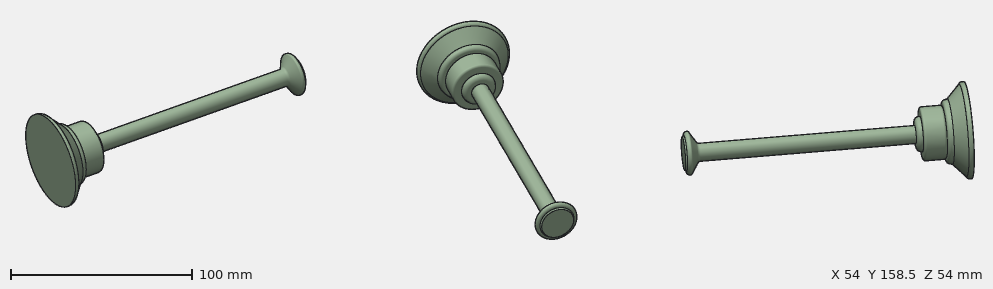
import cadquery as cq
import math

TOTAL_LENGTH = 158.5

CUP_DIAMETER = 54.0
CUP_RADIUS = CUP_DIAMETER / 2
RIM_THICKNESS = 1.0
RIM_ROUND_TOP = 2.9
RIM_ROUND_RADIUS = 25.7
SKIRT_MID_RADIUS = 21.5
SKIRT_MID_Y = 6.8
SKIRT_TOP_RADIUS = 18.2
SKIRT_TOP_Y = 10.0
SHOULDER_RADIUS = 17.9
SHOULDER_ROUND = 2.0
SHOULDER_START_Y = 11.1
CUP_TOP_Y = SHOULDER_START_Y + SHOULDER_ROUND

HOUSING_RADIUS = 15.0
HOUSING_TOP_Y = 26.0
HOUSING_ROUND = 1.5

COLLAR_RADIUS = 9.8
COLLAR_TOP_Y = 29.3
COLLAR_ROUND = 2.9

ROD_RADIUS = 5.0
NECK_START_Y = 149.3
NECK_END_Y = 150.9
NECK_END_RADIUS = 5.9
HEAD_CONE_RADIUS = 11.7
HEAD_CONE_END_Y = 154.7
HEAD_RADIUS = 12.2
HEAD_WIDEST_Y = 155.5
HEAD_STEP_RADIUS = 10.0
HEAD_STEP_Y = 157.5
HEAD_END_RADIUS = 9.4

ROUND_MID = math.sqrt(0.5)


def turn(profile):
    """Revolve a closed radius/length profile a full turn about the Y axis."""
    return profile.revolve(360, (0, 0, 0), (0, 1, 0))


def make_cylinder(radius, start_y, end_y):
    """Solid cylinder on the Y axis."""
    return turn(cq.Workplane("XY").moveTo(0, start_y).lineTo(radius, start_y)
                .lineTo(radius, end_y).lineTo(0, end_y).close())


def make_cup():
    """Flared suction cup with a flat face and a rounded shoulder."""
    shoulder_center = SHOULDER_RADIUS - SHOULDER_ROUND
    shoulder_mid = (shoulder_center + SHOULDER_ROUND * ROUND_MID,
                    SHOULDER_START_Y + SHOULDER_ROUND * ROUND_MID)
    return turn(
        cq.Workplane("XY")
        .lineTo(CUP_RADIUS, 0)
        .lineTo(CUP_RADIUS, RIM_THICKNESS)
        .tangentArcPoint((RIM_ROUND_RADIUS, RIM_ROUND_TOP), relative=False)
        .threePointArc((SKIRT_MID_RADIUS, SKIRT_MID_Y), (SKIRT_TOP_RADIUS, SKIRT_TOP_Y))
        .lineTo(SHOULDER_RADIUS, SHOULDER_START_Y)
        .threePointArc(shoulder_mid, (shoulder_center, CUP_TOP_Y))
        .lineTo(0, CUP_TOP_Y)
        .close()
    )


def make_housing():
    """Cylinder seated on the cup, rounded at both ends."""
    housing = make_cylinder(HOUSING_RADIUS, CUP_TOP_Y, HOUSING_TOP_Y)
    return housing.faces("<Y or >Y").edges().fillet(HOUSING_ROUND)


def make_collar():
    """Low boss on the housing, rounded at the rod end."""
    collar = make_cylinder(COLLAR_RADIUS, HOUSING_TOP_Y, COLLAR_TOP_Y)
    return collar.faces(">Y").edges().fillet(COLLAR_ROUND)


def make_rod():
    """Long rod standing on the collar, flaring into a rounded, stepped head."""
    return turn(
        cq.Workplane("XY")
        .moveTo(0, COLLAR_TOP_Y)
        .lineTo(ROD_RADIUS, COLLAR_TOP_Y)
        .lineTo(ROD_RADIUS, NECK_START_Y)
        .tangentArcPoint((NECK_END_RADIUS, NECK_END_Y), relative=False)
        .lineTo(HEAD_CONE_RADIUS, HEAD_CONE_END_Y)
        .tangentArcPoint((HEAD_RADIUS, HEAD_WIDEST_Y), relative=False)
        .tangentArcPoint((HEAD_STEP_RADIUS, HEAD_STEP_Y), relative=False)
        .lineTo(HEAD_END_RADIUS, TOTAL_LENGTH)
        .lineTo(0, TOTAL_LENGTH)
        .close()
    )


cup = make_cup()
housing = make_housing()
collar = make_collar()
rod = make_rod()

result = cq.Compound.makeCompound([cup.val(), housing.val(), collar.val(), rod.val()])